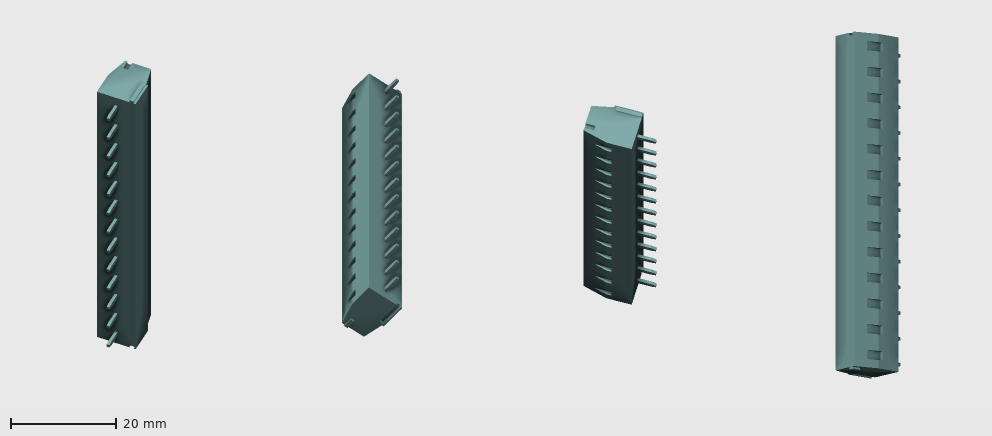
import cadquery as cq
import math

pole_count = 13
overall_height = 66.0
body_height = 65.0
pitch = body_height / pole_count
pole_heights = [(i - (pole_count - 1) / 2) * pitch for i in range(pole_count)]

body_width = 8.1
body_depth = 9.95
half_width = body_width / 2
half_back_width = 2.7
left_break_y = 5.0
ledge_x = 3.6
ledge_y = 5.7

window_front_y = 4.0
window_back_y = 7.4
window_height = 1.8
window_floor_depth = 0.7

pin_length = 3.7
pin_thickness = 0.6
pin_height = 1.0
pin_tip_height = 0.6
pin_taper_length = 1.0

key_height = (overall_height - body_height) / 2
key_narrow = 0.65
key_wide = 1.05
key_chamfer = 0.1
groove_narrow = 1.0
groove_wide = 1.2
groove_chamfer = 0.2
groove_depth = 0.6
front_dovetail_x = 3.25
front_dovetail_length = 5.2
back_dovetail_x = -1.7
back_dovetail_length = 2.0


def make_body():
    outline = [
        (-half_width, 0),
        (half_width, 0),
        (half_width, ledge_y),
        (ledge_x, ledge_y),
        (half_back_width, body_depth),
        (-half_back_width, body_depth),
        (-half_width, left_break_y),
    ]
    return cq.Workplane("XY").polyline(outline).close().extrude(body_height / 2, both=True)


def make_pin(z):
    tip_y = -pin_length
    taper_y = tip_y + pin_taper_length
    outline = [
        (0, -pin_height / 2),
        (0, pin_height / 2),
        (taper_y, pin_height / 2),
        (tip_y, pin_tip_height / 2),
        (tip_y, -pin_tip_height / 2),
        (taper_y, -pin_height / 2),
    ]
    pin = cq.Workplane("YZ").polyline(outline).close().extrude(pin_thickness / 2, both=True)
    return pin.translate((0, 0, z))


def make_window(z):
    """Pocket with a flat floor parallel to the left face."""
    window_length = window_back_y - window_front_y
    pocket = cq.Workplane("XY").box(
        window_floor_depth, window_length, window_height, centered=(False, False, True)
    )
    return pocket.translate((-half_width, window_front_y, z))


def make_dovetail(x, start_y, length, narrow, wide, chamfer, start_z, height):
    """Prism along Y, flaring away from start_z to a chamfered end; a negative height points down."""
    end_z = start_z + height
    wide_z = end_z - math.copysign(chamfer, height)
    end = wide - 2 * chamfer
    outline = [
        (x - narrow / 2, start_z),
        (x + narrow / 2, start_z),
        (x + wide / 2, wide_z),
        (x + end / 2, end_z),
        (x - end / 2, end_z),
        (x - wide / 2, wide_z),
    ]
    prism = cq.Workplane("XZ").polyline(outline).close().extrude(-length)
    return prism.translate((0, start_y, 0))


def make_key(place, start_z, height):
    return make_dovetail(*place, key_narrow, key_wide, key_chamfer, start_z, height)


def make_groove(place, start_z, height):
    return make_dovetail(*place, groove_narrow, groove_wide, groove_chamfer, start_z, height)


top = body_height / 2
bottom = -top
front_place = (front_dovetail_x, 0, front_dovetail_length)
back_place = (back_dovetail_x, body_depth - back_dovetail_length, back_dovetail_length)

result = make_body()
for pole_z in pole_heights:
    result = result.union(make_pin(pole_z))
    result = result.cut(make_window(pole_z))

result = result.union(make_key(front_place, top, key_height))
result = result.union(make_key(back_place, bottom, -key_height))
result = result.cut(make_groove(back_place, top, -groove_depth))
result = result.cut(make_groove(front_place, bottom, groove_depth))